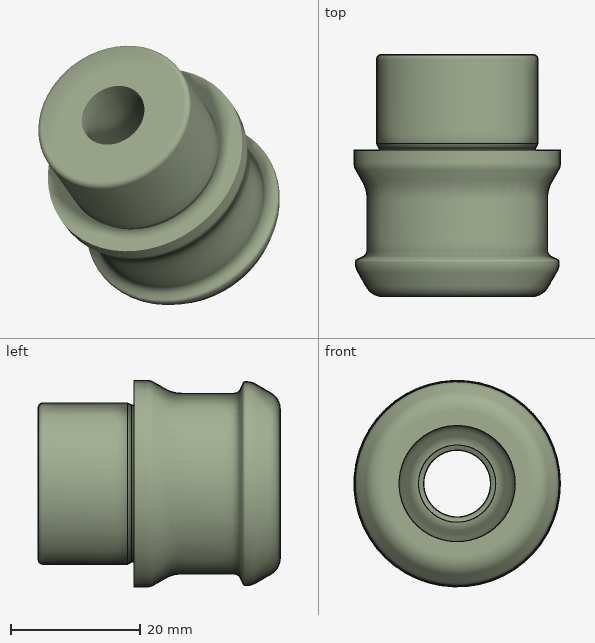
import cadquery as cq
import math

LENGTH = 37.5

SPIGOT_R = 25.0 / 2
NECK_R = 24.3 / 2
FLANGE_R = 32.0 / 2
WAIST_R = 28.0 / 2
BEAD_R = 31.6 / 2

BEAD_CREST_Y = 5.32
WAIST_END_Y = 15.35
FLANGE_BACK_Y = 22.7
NECK_WIDTH = 0.35
NECK_TAPER_LENGTH = 0.68

CONE_ANGLE = 30.0
BEAD_BACK_ANGLE = 65.0

NOSE_BLEND = 3.0
BEAD_CREST_BLEND = 3.0
BEAD_BACK_BLEND = 0.5
WAIST_FRONT_BLEND = 1.0
WAIST_REAR_BLEND = 5.0
FLANGE_BLEND = 2.0
SPIGOT_END_BLEND = 0.75

COUNTERBORE_R = 18.0 / 2
COUNTERBORE_DEPTH = 13.0
COUNTERBORE_BLEND = 1.0
BORE_R = 10.3 / 2
BORE_CHAMFER_WIDTH = 0.82
BORE_CHAMFER_DEPTH = 0.5


def arc_point(center, radius, degrees):
    """Point (r, y) on a circle; 0 degrees points outward, 90 toward the spigot end."""
    angle = math.radians(degrees)
    return (center[0] + radius * math.cos(angle), center[1] + radius * math.sin(angle))


def add_arc(profile, center, radius, start, end):
    """Continue the outline along an arc, from its current point to the end angle."""
    return profile.threePointArc(
        arc_point(center, radius, (start + end) / 2), arc_point(center, radius, end)
    )


def add_line_and_arc(profile, center, radius, start, end):
    """Run straight to the start of an arc, then follow the arc to its end."""
    return add_arc(profile.lineTo(*arc_point(center, radius, start)), center, radius, start, end)


def slope_length(rise, degrees):
    """Axial length of a straight cone that rises radially by the given amount."""
    return rise / math.tan(math.radians(degrees))


def blend_rise(radius, degrees):
    """Radial change over a blend between a cylinder and a cone."""
    return radius * (1 - math.cos(math.radians(degrees)))


def blend_run(radius, degrees):
    """Axial length of a blend between a cylinder and a cone."""
    return radius * math.sin(math.radians(degrees))


def s_curve_length(rise, blend_a, blend_b, degrees):
    """Axial length of two opposite blends joined by a straight cone."""
    cone_rise = rise - blend_rise(blend_a, degrees) - blend_rise(blend_b, degrees)
    return blend_run(blend_a, degrees) + blend_run(blend_b, degrees) + slope_length(cone_rise, degrees)


waist_start_y = BEAD_CREST_Y + s_curve_length(
    BEAD_R - WAIST_R, BEAD_BACK_BLEND, WAIST_FRONT_BLEND, BEAD_BACK_ANGLE
)
flange_front_y = WAIST_END_Y + s_curve_length(
    FLANGE_R - WAIST_R, WAIST_REAR_BLEND, FLANGE_BLEND, CONE_ANGLE
)

crest_center = (BEAD_R - BEAD_CREST_BLEND, BEAD_CREST_Y)
cone_front_y = NOSE_BLEND - blend_run(NOSE_BLEND, CONE_ANGLE)
crest_cone_r, crest_cone_y = arc_point(crest_center, BEAD_CREST_BLEND, -CONE_ANGLE)
cone_front_r = crest_cone_r - (crest_cone_y - cone_front_y) * math.tan(math.radians(CONE_ANGLE))
nose_center = (cone_front_r - NOSE_BLEND * math.cos(math.radians(CONE_ANGLE)), NOSE_BLEND)

profile = cq.Workplane("XY")
profile = profile.moveTo(COUNTERBORE_R, 0)
profile = add_line_and_arc(profile, nose_center, NOSE_BLEND, -90, -CONE_ANGLE)
profile = add_line_and_arc(profile, crest_center, BEAD_CREST_BLEND, -CONE_ANGLE, 0)
bead_back_center = (BEAD_R - BEAD_BACK_BLEND, BEAD_CREST_Y)
profile = add_arc(profile, bead_back_center, BEAD_BACK_BLEND, 0, BEAD_BACK_ANGLE)
waist_front_center = (WAIST_R + WAIST_FRONT_BLEND, waist_start_y)
profile = add_line_and_arc(profile, waist_front_center, WAIST_FRONT_BLEND, 180 + BEAD_BACK_ANGLE, 180)
waist_rear_center = (WAIST_R + WAIST_REAR_BLEND, WAIST_END_Y)
profile = add_line_and_arc(profile, waist_rear_center, WAIST_REAR_BLEND, 180, 180 - CONE_ANGLE)
flange_center = (FLANGE_R - FLANGE_BLEND, flange_front_y)
profile = add_line_and_arc(profile, flange_center, FLANGE_BLEND, -CONE_ANGLE, 0)
profile = profile.lineTo(FLANGE_R, FLANGE_BACK_Y)

neck_end_y = FLANGE_BACK_Y + NECK_WIDTH
profile = profile.lineTo(NECK_R, FLANGE_BACK_Y)
profile = profile.lineTo(NECK_R, neck_end_y)
profile = profile.lineTo(SPIGOT_R, neck_end_y + NECK_TAPER_LENGTH)
spigot_end_center = (SPIGOT_R - SPIGOT_END_BLEND, LENGTH - SPIGOT_END_BLEND)
profile = add_line_and_arc(profile, spigot_end_center, SPIGOT_END_BLEND, 0, 90)

profile = profile.lineTo(BORE_R, LENGTH)
profile = profile.lineTo(BORE_R, COUNTERBORE_DEPTH + BORE_CHAMFER_DEPTH)
profile = profile.lineTo(BORE_R + BORE_CHAMFER_WIDTH, COUNTERBORE_DEPTH)
floor_center = (COUNTERBORE_R - COUNTERBORE_BLEND, COUNTERBORE_DEPTH - COUNTERBORE_BLEND)
profile = add_line_and_arc(profile, floor_center, COUNTERBORE_BLEND, 90, 0)

result = profile.close().revolve(360, (0, 0, 0), (0, 1, 0))